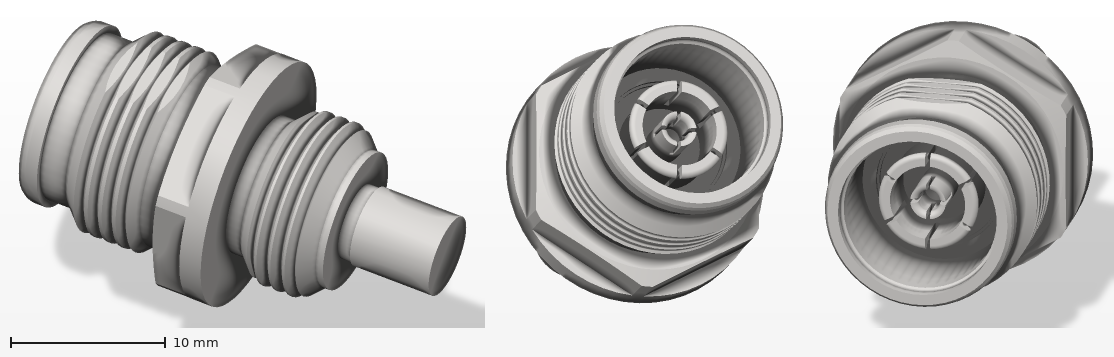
import cadquery as cq
import math

AXIS_START = (0, 0, 0)
AXIS_END = (1, 0, 0)

rim_radius = 6.27
rim_face_radius = 5.95
rim_bevel_radius = 6.2
rim_bevel_length = 0.3
rim_second_bevel_length = 0.3
rim_end_x = 1.45
front_neck_radius = 5.77
front_neck_end_x = 3.25

thread_pitch = 1.0
thread_crests = 3

front_first_peak_x = 4.45
front_crest_radius = 6.95
front_root_radius = 6.35
front_crest_width = 0.25
front_collar_radius = rim_radius
front_flat_height = 6.52

hex_start_x = 10.4
hex_end_x = 12.82
hex_sides = 6
hex_across_flats = 15.0
hex_face_radius = 7.35
hex_chamfer_length = 0.25
flange_radius = 8.45
flange_end_x = 14.35

rear_neck_radius = 4.75
rear_neck_end_x = 15.37
rear_end_peak_radius = 5.75
rear_crest_radius = 6.02
rear_root_radius = 5.35
rear_crest_width = 0.17
rear_collar_end_x = 21.35
ferrule_neck_radius = 2.58
ferrule_neck_end_x = 22.32
ferrule_radius = 2.75
total_length = 28.0

socket_lip_radius = 5.25
socket_lip_depth = 0.65
socket_radius = 5.07
socket_step_x = 6.45
socket_recess_radius = 4.17
socket_recess_x = 6.72
socket_floor_radius = 4.0
socket_floor_x = 7.0

contact_tip_x = 3.02
contact_outer_radius = 2.97
contact_inner_radius = 2.5
contact_bead_radius = 0.35
contact_slot_width = 0.35
contact_slot_end_x = 6.15
contact_slots = 6

pin_tip_x = 3.15
pin_radius = 1.18
pin_bore_radius = 0.73
pin_rounding = 0.4
pin_bore_end_x = 5.6
pin_bore_tip_angle = 118
pin_slot_width = 0.28
pin_slot_end_x = 5.05
pin_slots = 4


def turned(outline):
    """Revolve a closed half outline, drawn as (x, radius), about the X axis."""
    return outline.close().revolve(360, AXIS_START, AXIS_END)


def thread_points(first_root_x, root_radius, crest_radius, crest_width):
    """Half outline of the ridges from the first thread root to the last one."""
    flank = (thread_pitch - crest_width) / 2
    points = [(first_root_x, root_radius)]
    for ridge in range(thread_crests):
        root_x = first_root_x + ridge * thread_pitch
        points.append((root_x + flank, crest_radius))
        points.append((root_x + flank + crest_width, crest_radius))
        points.append((root_x + thread_pitch, root_radius))
    return points


def front_body():
    """Rim, neck and front thread, flattened along the top."""
    flank = (thread_pitch - front_crest_width) / 2
    first_root_x = front_first_peak_x + flank
    last_peak_x = first_root_x + thread_crests * thread_pitch + flank
    collar_x = last_peak_x + front_crest_radius - front_collar_radius

    outline = (
        cq.Workplane("XZ")
        .lineTo(0, rim_face_radius)
        .lineTo(rim_bevel_length, rim_bevel_radius)
        .lineTo(rim_bevel_length + rim_second_bevel_length, rim_radius)
        .lineTo(rim_end_x, rim_radius)
        .lineTo(rim_end_x, front_neck_radius)
        .lineTo(front_neck_end_x, front_neck_radius)
        .lineTo(front_first_peak_x, front_crest_radius)
    )
    for x, radius in thread_points(first_root_x, front_root_radius, front_crest_radius, front_crest_width):
        outline = outline.lineTo(x, radius)
    outline = (
        outline.lineTo(last_peak_x, front_crest_radius)
        .lineTo(collar_x, front_collar_radius)
        .lineTo(hex_start_x, front_collar_radius)
        .lineTo(hex_start_x, 0)
    )
    above_flat = (
        cq.Workplane("XY")
        .workplane(offset=front_flat_height)
        .rect(2 * hex_start_x, 2 * flange_radius)
        .extrude(front_crest_radius)
    )
    return turned(outline).cut(above_flat)


def hexagon():
    """Hexagon with flats facing +Y and -Y, its corners turned down and its front edge chamfered."""
    half_side_angle = math.pi / hex_sides
    across_corners = hex_across_flats / math.cos(half_side_angle)
    prism = (
        cq.Workplane("YZ")
        .workplane(offset=hex_start_x)
        .transformed(rotate=(0, 0, math.degrees(half_side_angle)))
        .polygon(hex_sides, across_corners)
        .extrude(hex_end_x - hex_start_x)
    )
    envelope = turned(
        cq.Workplane("XZ")
        .moveTo(hex_start_x, 0)
        .lineTo(hex_start_x, hex_face_radius)
        .lineTo(hex_start_x + hex_chamfer_length, flange_radius)
        .lineTo(hex_end_x, flange_radius)
        .lineTo(hex_end_x, 0)
    )
    return prism.intersect(envelope)


def rear_body():
    """Flange, rear thread, collar and ferrule."""
    flank_slope = (thread_pitch - rear_crest_width) / 2 / (rear_crest_radius - rear_root_radius)
    end_flank = flank_slope * (rear_end_peak_radius - rear_root_radius)
    end_cone = rear_end_peak_radius - rear_neck_radius
    first_peak_x = rear_neck_end_x + end_cone
    first_root_x = first_peak_x + end_flank
    last_peak_x = first_root_x + thread_crests * thread_pitch + end_flank

    outline = (
        cq.Workplane("XZ")
        .moveTo(hex_end_x, 0)
        .lineTo(hex_end_x, flange_radius)
        .lineTo(flange_end_x, flange_radius)
        .lineTo(flange_end_x, rear_neck_radius)
        .lineTo(rear_neck_end_x, rear_neck_radius)
        .lineTo(first_peak_x, rear_end_peak_radius)
    )
    for x, radius in thread_points(first_root_x, rear_root_radius, rear_crest_radius, rear_crest_width):
        outline = outline.lineTo(x, radius)
    outline = (
        outline.lineTo(last_peak_x, rear_end_peak_radius)
        .lineTo(last_peak_x + end_cone, rear_neck_radius)
        .lineTo(rear_collar_end_x, rear_neck_radius)
        .lineTo(rear_collar_end_x, ferrule_neck_radius)
        .lineTo(ferrule_neck_end_x, ferrule_neck_radius)
        .lineTo(ferrule_neck_end_x, ferrule_radius)
        .lineTo(total_length, ferrule_radius)
        .lineTo(total_length, 0)
    )
    return turned(outline)


def socket():
    """Stepped bore with a wider lip at the mouth."""
    return turned(
        cq.Workplane("XZ")
        .lineTo(0, socket_lip_radius)
        .lineTo(socket_lip_depth, socket_lip_radius)
        .lineTo(socket_lip_depth + socket_lip_radius - socket_radius, socket_radius)
        .lineTo(socket_step_x, socket_radius)
        .lineTo(socket_step_x, socket_recess_radius)
        .lineTo(socket_recess_x, socket_recess_radius)
        .lineTo(socket_recess_x, socket_floor_radius)
        .lineTo(socket_floor_x, socket_floor_radius)
        .lineTo(socket_floor_x, 0)
    )


def slots(count, width, start_x, end_x, inner_radius, outer_radius):
    """Radial slots spaced evenly about the axis, the first one pointing along +Z."""
    middle_radius = (inner_radius + outer_radius) / 2
    slot = cq.Workplane("XY").box(end_x - start_x, width, outer_radius - inner_radius)
    slot = slot.translate(((start_x + end_x) / 2, 0, middle_radius))
    cutters = cq.Workplane("XY")
    for index in range(count):
        cutters = cutters.add(slot.rotate(AXIS_START, AXIS_END, index * 360 / count))
    return cutters.combine()


def outer_contact():
    """Tube with a rounded bead around its tip, slotted into spring fingers."""
    bead_end_x = contact_tip_x + 2 * contact_bead_radius
    bead_crest = (contact_tip_x + contact_bead_radius, contact_outer_radius + contact_bead_radius)
    tube = turned(
        cq.Workplane("XZ")
        .moveTo(contact_tip_x, contact_inner_radius)
        .lineTo(contact_tip_x, contact_outer_radius)
        .threePointArc(bead_crest, (bead_end_x, contact_outer_radius))
        .lineTo(socket_floor_x, contact_outer_radius)
        .lineTo(socket_floor_x, contact_inner_radius)
    )
    finger_slots = slots(
        contact_slots, contact_slot_width, contact_tip_x, contact_slot_end_x,
        pin_radius, socket_radius,
    )
    return tube.cut(finger_slots)


def centre_pin():
    """Hollow pin with a rounded entry, a drill-point bottom and four slots."""
    bell_radius = pin_bore_radius + pin_rounding
    arc_offset = pin_rounding * math.sin(math.radians(45))
    drill_point = pin_bore_radius / math.tan(math.radians(pin_bore_tip_angle / 2))
    pin = turned(
        cq.Workplane("XZ")
        .moveTo(pin_tip_x, pin_radius)
        .lineTo(pin_tip_x, bell_radius)
        .threePointArc(
            (pin_tip_x + pin_rounding - arc_offset, pin_bore_radius + pin_rounding - arc_offset),
            (pin_tip_x + pin_rounding, pin_bore_radius),
        )
        .lineTo(pin_bore_end_x, pin_bore_radius)
        .lineTo(pin_bore_end_x + drill_point, 0)
        .lineTo(socket_floor_x, 0)
        .lineTo(socket_floor_x, pin_radius)
    )
    pin_cuts = slots(
        pin_slots, pin_slot_width, pin_tip_x, pin_slot_end_x, 0, contact_inner_radius
    )
    return pin.cut(pin_cuts)


body = front_body().union(hexagon()).union(rear_body()).cut(socket())
result = body.union(outer_contact()).union(centre_pin())